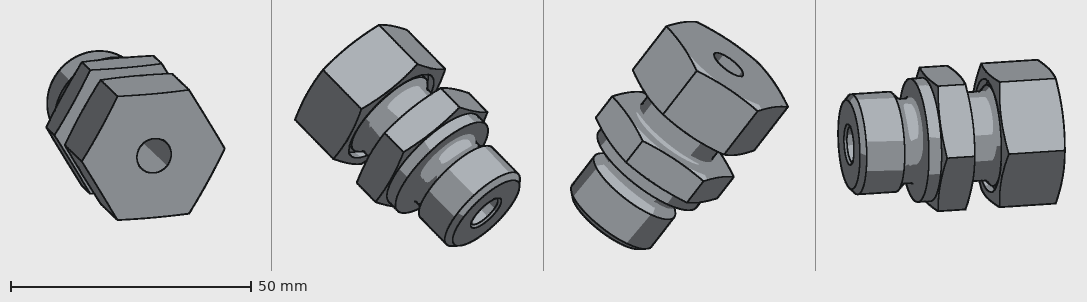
import cadquery as cq
import math

total_length = 43.0
across_flats = 27.0
across_corners = across_flats / math.cos(math.radians(30))

thread_radius = 21.0 / 2
thread_end_radius = 18.6 / 2
thread_chamfer_length = 1.15
thread_end = 9.35

groove_radius = 17.67 / 2
groove_fillet = 1.4

flange_radius = 25.8 / 2
flange_start = 13.95

hex_start = 16.65
hex_end = 23.6
nut_start = 29.75
hex_chamfer_length = 0.5
nut_front_chamfer_length = 0.65

neck_radius = 18.6 / 2
neck_fillet = 1.0
cone_start = 29.3
cone_end_radius = 10.58

recess_radius = 11.82
recess_depth = 1.7

bore_radius = 7.5 / 2
bore_mouth_chamfer = 0.5

AXIAL_45 = math.sin(math.radians(45))
RADIAL_45 = 1 - math.cos(math.radians(45))
MID_ARC = math.radians(22.5)


def make_threaded_end():
    """Thread, 45 degree run-out, relief groove and flange, revolved about X."""
    runout_drop = thread_radius - groove_radius - groove_fillet * RADIAL_45
    runout_end = thread_end + runout_drop
    groove_start = runout_end + groove_fillet * AXIAL_45
    groove_end = flange_start - groove_fillet
    groove_center = groove_radius + groove_fillet
    return (
        cq.Workplane("XY")
        .moveTo(0, 0)
        .lineTo(0, thread_end_radius)
        .lineTo(thread_chamfer_length, thread_radius)
        .lineTo(thread_end, thread_radius)
        .lineTo(runout_end, thread_radius - runout_drop)
        .threePointArc(
            (
                groove_start - groove_fillet * math.sin(MID_ARC),
                groove_center - groove_fillet * math.cos(MID_ARC),
            ),
            (groove_start, groove_radius),
        )
        .lineTo(groove_end, groove_radius)
        .threePointArc(
            (groove_end + groove_fillet * AXIAL_45, groove_radius + groove_fillet * RADIAL_45),
            (flange_start, groove_center),
        )
        .lineTo(flange_start, flange_radius)
        .lineTo(hex_start, flange_radius)
        .lineTo(hex_start, 0)
        .close()
        .revolve(360, (0, 0, 0), (1, 0, 0))
    )


def make_neck():
    """Neck with a full fillet at the hexagon and a filleted 45 degree cone that enters the nut."""
    neck_start = hex_end + neck_fillet
    neck_end = cone_start - neck_fillet * AXIAL_45
    fillet_center = neck_radius + neck_fillet
    cone_start_radius = neck_radius + neck_fillet * RADIAL_45
    cone_end = cone_start + cone_end_radius - cone_start_radius
    recess_floor = nut_start + recess_depth
    return (
        cq.Workplane("XY")
        .moveTo(hex_end, 0)
        .lineTo(hex_end, fillet_center)
        .threePointArc(
            (neck_start - neck_fillet * AXIAL_45, cone_start_radius),
            (neck_start, neck_radius),
        )
        .lineTo(neck_end, neck_radius)
        .threePointArc(
            (
                neck_end + neck_fillet * math.sin(MID_ARC),
                fillet_center - neck_fillet * math.cos(MID_ARC),
            ),
            (cone_start, cone_start_radius),
        )
        .lineTo(cone_end, cone_end_radius)
        .lineTo(recess_floor, cone_end_radius)
        .lineTo(recess_floor, 0)
        .close()
        .revolve(360, (0, 0, 0), (1, 0, 0))
    )


def make_hexagon(start, end, front_chamfer, back_chamfer):
    """Hexagonal prism with flats facing +Z and -Z and conically turned corners."""
    prism = (
        cq.Workplane("YZ")
        .workplane(offset=start)
        .polygon(6, across_corners)
        .extrude(end - start)
    )
    face_radius = across_flats / 2
    corner_radius = across_corners / 2
    turned_blank = (
        cq.Workplane("XY")
        .moveTo(start, 0)
        .lineTo(start, face_radius)
        .lineTo(start + front_chamfer, corner_radius)
        .lineTo(end - back_chamfer, corner_radius)
        .lineTo(end, face_radius)
        .lineTo(end, 0)
        .close()
        .revolve(360, (0, 0, 0), (1, 0, 0))
    )
    return prism.intersect(turned_blank)


def make_nut_recess():
    """Round pocket in the front face of the nut, later filled in part by the neck."""
    return cq.Workplane("YZ").workplane(offset=nut_start).circle(recess_radius).extrude(recess_depth)


def make_bore():
    """Through bore with a 45 degree chamfer at the threaded end."""
    return (
        cq.Workplane("XY")
        .moveTo(0, 0)
        .lineTo(0, bore_radius + bore_mouth_chamfer)
        .lineTo(bore_mouth_chamfer, bore_radius)
        .lineTo(total_length, bore_radius)
        .lineTo(total_length, 0)
        .close()
        .revolve(360, (0, 0, 0), (1, 0, 0))
    )


fixed_hexagon = make_hexagon(hex_start, hex_end, hex_chamfer_length, hex_chamfer_length)
union_nut = make_hexagon(nut_start, total_length, nut_front_chamfer_length, hex_chamfer_length)
union_nut = union_nut.cut(make_nut_recess())

result = (
    make_threaded_end()
    .union(fixed_hexagon)
    .union(make_neck())
    .union(union_nut)
    .cut(make_bore())
)